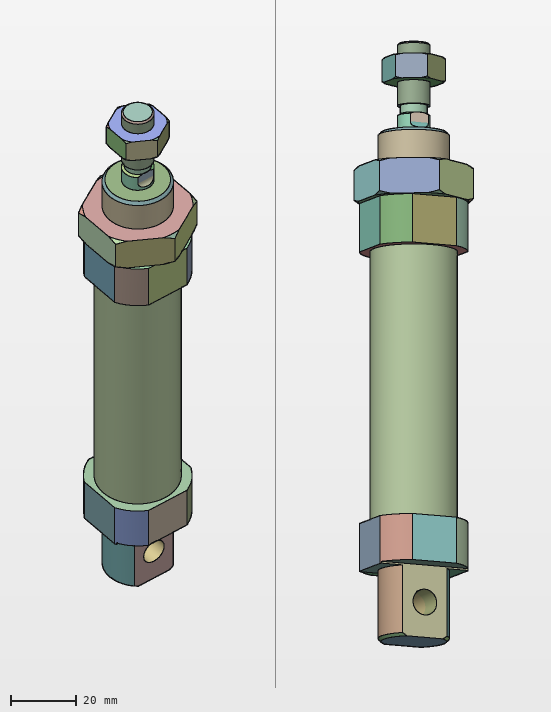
import cadquery as cq
import math

TOTAL_HEIGHT = 187.0

THREAD_DIAMETER = 22.0
THREAD_CHAMFER = 1.0
TENON_THICKNESS = 16.0
PIVOT_HOLE_DIAMETER = 8.0
PIVOT_HOLE_Z = 11.0

CAP_WIDTH = 30.0
CAP_CORNER_DIAMETER = 33.5
REAR_CAP_BOTTOM = 22.0
REAR_CAP_TOP = 37.0
FRONT_CAP_BOTTOM = 122.0
FRONT_CAP_TOP = 137.0
TENON_MILLING_TOP = 22.6

BARREL_DIAMETER = 27.0
NOSE_TOP = 159.1

MOUNTING_NUT_BOTTOM = 137.5
MOUNTING_NUT_WIDTH = 32.0
MOUNTING_NUT_HEIGHT = 11.0

ROD_DIAMETER = 10.1
NECK_DIAMETER = 8.5
NECK_BOTTOM = 165.0
NECK_TOP = 167.5
NECK_CONE_HEIGHT = 0.5
WRENCH_WIDTH = 8.0
WRENCH_FLAT_BOTTOM = 159.9
WRENCH_RUNOUT_RADIUS = 1.9
ROD_TIP_CHAMFER = 0.5

LOCK_NUT_WIDTH = 17.0
LOCK_NUT_HEIGHT = 7.7
LOCK_NUT_BOTTOM = 174.8

HEX_HALF_ANGLE = 30.0
NUT_CHAMFER_ANGLE = 30.0
NUT_CHAMFER_SHARE = 0.6


def cylinder(diameter, bottom, top):
    """Cylinder on the Z axis."""
    return cq.Workplane("XY", origin=(0, 0, bottom)).circle(diameter / 2).extrude(top - bottom)


def end_cap(bottom, top):
    """Square block whose four corners are rounded by a concentric cylinder."""
    height = top - bottom
    block = cq.Workplane("XY", origin=(0, 0, bottom)).rect(CAP_WIDTH, CAP_WIDTH).extrude(height)
    return block.intersect(cylinder(CAP_CORNER_DIAMETER, bottom, top))


def hex_nut(width, height, bottom, bore_diameter):
    """Hexagon nut with corners on the X axis, a plain bore and both ends chamfered."""
    corner_diameter = width / math.cos(math.radians(HEX_HALF_ANGLE))
    chamfer_width = NUT_CHAMFER_SHARE * (corner_diameter - width) / 2
    chamfer_height = chamfer_width * math.tan(math.radians(NUT_CHAMFER_ANGLE))
    base = cq.Workplane("XY", origin=(0, 0, bottom))
    hexagon = base.polygon(6, corner_diameter).extrude(height)
    turned_blank = (
        base.circle(corner_diameter / 2)
        .extrude(height)
        .faces("<Z or >Z")
        .edges()
        .chamfer(chamfer_height, chamfer_width)
    )
    return hexagon.intersect(turned_blank).cut(cylinder(bore_diameter, bottom, bottom + height))


def make_housing():
    """Barrel, both end caps, front nose and rear tenon."""
    stub = cylinder(THREAD_DIAMETER, 0, NOSE_TOP).faces("<Z or >Z").edges().chamfer(THREAD_CHAMFER)
    housing = (
        stub.union(cylinder(BARREL_DIAMETER, REAR_CAP_TOP, FRONT_CAP_BOTTOM))
        .union(end_cap(REAR_CAP_BOTTOM, REAR_CAP_TOP))
        .union(end_cap(FRONT_CAP_BOTTOM, FRONT_CAP_TOP))
    )
    cut_depth = (CAP_WIDTH - TENON_THICKNESS) / 2
    cut_center = (CAP_WIDTH + TENON_THICKNESS) / 4
    for side in (-1, 1):
        milling = cq.Workplane("XY").center(side * cut_center, 0)
        housing = housing.cut(milling.rect(cut_depth, CAP_WIDTH).extrude(TENON_MILLING_TOP))
    pivot_hole = (
        cq.Workplane("YZ", origin=(0, 0, PIVOT_HOLE_Z))
        .circle(PIVOT_HOLE_DIAMETER / 2)
        .extrude(THREAD_DIAMETER / 2, both=True)
    )
    return housing.cut(pivot_hole)


def make_rod():
    """Piston rod standing on the nose, turned with a relief neck and milled with two wrench flats."""
    rod_radius = ROD_DIAMETER / 2
    neck_radius = NECK_DIAMETER / 2
    rod = (
        cq.Workplane("XZ")
        .moveTo(0, NOSE_TOP)
        .lineTo(rod_radius, NOSE_TOP)
        .lineTo(rod_radius, NECK_BOTTOM - NECK_CONE_HEIGHT)
        .lineTo(neck_radius, NECK_BOTTOM)
        .lineTo(neck_radius, NECK_TOP)
        .lineTo(rod_radius, NECK_TOP)
        .lineTo(rod_radius, TOTAL_HEIGHT - ROD_TIP_CHAMFER)
        .lineTo(rod_radius - ROD_TIP_CHAMFER, TOTAL_HEIGHT)
        .lineTo(0, TOTAL_HEIGHT)
        .close()
        .revolve(360, (0, 0, 0), (0, 1, 0))
    )
    flat_height = NECK_BOTTOM - WRENCH_FLAT_BOTTOM
    for side in (-1, 1):
        cutter_center = side * (WRENCH_WIDTH + ROD_DIAMETER) / 2
        cutter = (
            cq.Workplane("XY", origin=(cutter_center, 0, WRENCH_FLAT_BOTTOM))
            .rect(ROD_DIAMETER, ROD_DIAMETER)
            .extrude(flat_height)
            .faces("<Z")
            .edges("|Y")
            .fillet(WRENCH_RUNOUT_RADIUS)
        )
        rod = rod.cut(cutter)
    return rod


housing = make_housing()
rod = make_rod()
mounting_nut = hex_nut(MOUNTING_NUT_WIDTH, MOUNTING_NUT_HEIGHT, MOUNTING_NUT_BOTTOM, THREAD_DIAMETER)
lock_nut = hex_nut(LOCK_NUT_WIDTH, LOCK_NUT_HEIGHT, LOCK_NUT_BOTTOM, ROD_DIAMETER)

result = cq.Compound.makeCompound([housing.val(), rod.val(), mounting_nut.val(), lock_nut.val()])